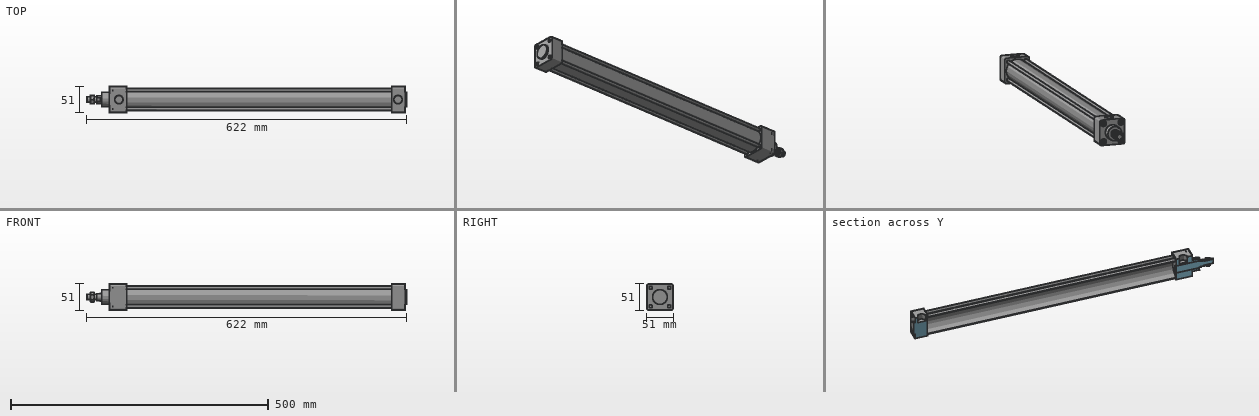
import cadquery as cq
import math

total_length = 622.0
block_side = 51.0
block_corner_radius = 4.5

nut_start = 7.0
nut_thickness = 7.5
rod_shoulder = 19.0
flats_length = 6.0
boss_length = 15.0
head_start = 43.5
head_length = 33.5
cap_length = 26.0
cap_disc_length = 4.0

head_end = head_start + head_length
cap_end = total_length - cap_disc_length
cap_start = cap_end - cap_length

thread_diameter = 11.0
rod_diameter = 15.5
rod_flats_width = 14.0
nut_width = 17.0
nut_chamfer = 1.0
boss_diameter = 28.5
tube_outer_diameter = 44.0
tube_bore = 38.0
port_diameter = 16.0
port_depth = 12.5
head_port_x = 62.0
cap_port_x = 605.0

tie_rod_offset = 18.0
tie_rod_diameter = 6.0
screw_head_diameter = 10.0
screw_head_length = 5.5
screw_recess_diameter = 11.0
screw_recess_depth = 6.0
socket_diameter = 6.0
socket_depth = 4.0
tie_rod_signs = [(1, 1), (1, -1), (-1, 1), (-1, -1)]
tie_rod_places = [(sy * tie_rod_offset, sz * tie_rod_offset) for sy, sz in tie_rod_signs]


def cylinder_x(diameter, start, end, y=0.0, z=0.0):
    """Cylinder along X between two stations."""
    plane = cq.Workplane("YZ", origin=(start, y, z))
    return plane.circle(diameter / 2).extrude(end - start)


def end_block(start, length):
    """Square block with rounded long edges."""
    block = cq.Workplane("YZ", origin=(start, 0, 0)).rect(block_side, block_side).extrude(length)
    return block.edges("|X").fillet(block_corner_radius)


def port(x):
    """Blind hole going down from the top face of a block."""
    plane = cq.Workplane("XY", origin=(x, 0, block_side / 2))
    return plane.circle(port_diameter / 2).extrude(-port_depth)


def make_head():
    """Front block with a round boss, a bore for the rod, a port and sunk screw holes."""
    head = end_block(head_start, head_length)
    head = head.union(cylinder_x(boss_diameter, head_start - boss_length, head_start))
    head = head.cut(cylinder_x(rod_diameter, head_start - boss_length, head_end))
    head = head.cut(port(head_port_x))
    for y, z in tie_rod_places:
        head = head.cut(cylinder_x(tie_rod_diameter, head_start, head_end, y, z))
        recess_end = head_start + screw_recess_depth
        head = head.cut(cylinder_x(screw_recess_diameter, head_start, recess_end, y, z))
    return head


def make_cap():
    """Rear block with a shallow round disc, a port and tie rod holes."""
    cap = end_block(cap_start, cap_length)
    cap = cap.union(cylinder_x(boss_diameter, cap_end, total_length))
    cap = cap.cut(port(cap_port_x))
    for y, z in tie_rod_places:
        cap = cap.cut(cylinder_x(tie_rod_diameter, cap_start, cap_end, y, z))
    return cap


def make_tube():
    """Hollow tube held between the two blocks."""
    tube = cylinder_x(tube_outer_diameter, head_end, cap_start)
    return tube.cut(cylinder_x(tube_bore, head_end, cap_start))


def make_rod():
    """Rod with a thinner threaded end and two wrench flats behind the shoulder."""
    rod = cylinder_x(rod_diameter, rod_shoulder, head_end)
    flats_centre = rod_shoulder + flats_length / 2
    for side in (1, -1):
        cutter_z = side * (rod_flats_width + rod_diameter) / 2
        cutter = cq.Workplane("XY").box(flats_length, rod_diameter, rod_diameter)
        rod = rod.cut(cutter.translate((flats_centre, 0, cutter_z)))
    return rod.union(cylinder_x(thread_diameter, 0, rod_shoulder))


def make_nut():
    """Hexagonal nut with corners pointing up and down, chamfered at both ends."""
    nut_end = nut_start + nut_thickness
    corner_diameter = nut_width / math.cos(math.pi / 6)
    hexagon = cq.Workplane("YZ", origin=(nut_start, 0, 0)).transformed(rotate=(0, 0, 90))
    nut = hexagon.polygon(6, corner_diameter).extrude(nut_thickness)
    envelope = cylinder_x(corner_diameter, nut_start, nut_end)
    envelope = envelope.faces("<X or >X").chamfer(nut_chamfer)
    nut = nut.intersect(envelope)
    return nut.cut(cylinder_x(thread_diameter, nut_start, nut_end))


def make_tie_rod(y, z):
    """Tie rod with a socket head resting on the floor of its recess."""
    recess_floor = head_start + screw_recess_depth
    head_face = recess_floor - screw_head_length
    tie_rod = cylinder_x(tie_rod_diameter, recess_floor, cap_end, y, z)
    tie_rod = tie_rod.union(cylinder_x(screw_head_diameter, head_face, recess_floor, y, z))
    return tie_rod.cut(cylinder_x(socket_diameter, head_face, head_face + socket_depth, y, z))


head = make_head()
cap = make_cap()
tube = make_tube()
rod = make_rod()
nut = make_nut()
tie_rods = [make_tie_rod(y, z) for y, z in tie_rod_places]

result = cq.Compound.makeCompound(
    [
        head.val(),
        cap.val(),
        tube.val(),
        rod.val(),
        nut.val(),
        *[tie_rod.val() for tie_rod in tie_rods],
    ]
)